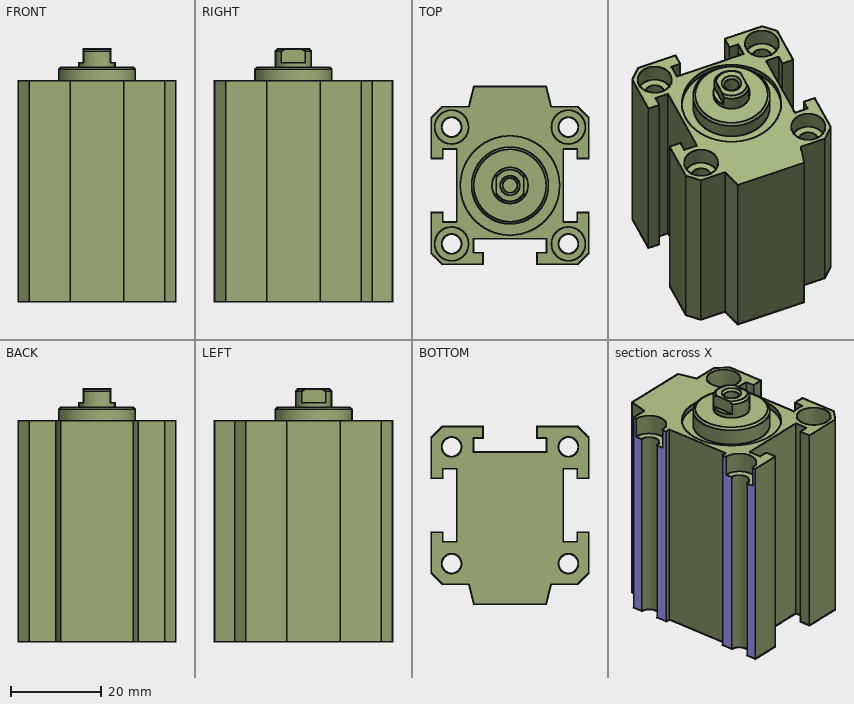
import cadquery as cq

side = 35.0
half = side / 2
corner_chamfer = 2.5
body_height = 49.0
ridge_height = 4.5
ridge_base_width = 18.25
ridge_top_width = 16.0

slot_opening = 11.9
slot_inner_width = 16.1
slot_lip = 2.65
slot_depth = 5.65

hole_spacing = 25.9
hole_diameter = 4.3
counterbore_diameter = 7.5
counterbore_depth = 4.6

recess_diameter = 22.0
recess_depth = 1.2
collar_diameter = 17.0
collar_top = 51.95
edge_chamfer = 0.5

rod_diameter = 8.0
rod_top = 56.0
rod_bottom = body_height / 2
flats_width = 6.0
flats_bottom = 53.0
bore_diameter = 3.25
bore_mouth_diameter = 4.3
bore_depth = 7.85


def cylinder(diameter, bottom, top):
    return cq.Workplane("XY").workplane(offset=bottom).circle(diameter / 2).extrude(top - bottom)


def make_ridge():
    """Trapezoidal ridge along the whole height of the +Y side."""
    return (
        cq.Workplane("XY")
        .moveTo(-ridge_base_width / 2, half)
        .lineTo(-ridge_top_width / 2, half + ridge_height)
        .lineTo(ridge_top_width / 2, half + ridge_height)
        .lineTo(ridge_base_width / 2, half)
        .close()
        .extrude(body_height)
    )


def make_slot(angle):
    """T-slot cutter for the -Y side, turned about Z by the angle."""
    profile = [
        (-slot_opening / 2, -half),
        (-slot_opening / 2, -half + slot_lip),
        (-slot_inner_width / 2, -half + slot_lip),
        (-slot_inner_width / 2, -half + slot_depth),
        (slot_inner_width / 2, -half + slot_depth),
        (slot_inner_width / 2, -half + slot_lip),
        (slot_opening / 2, -half + slot_lip),
        (slot_opening / 2, -half),
    ]
    slot = cq.Workplane("XY").polyline(profile).close().extrude(body_height)
    return slot.rotate((0, 0, 0), (0, 0, 1), angle)


def make_housing():
    """Extruded body with slots, mounting holes, recess and the collar that guides the rod."""
    body = cq.Workplane("XY").rect(side, side).extrude(body_height)
    body = body.edges("|Z").chamfer(corner_chamfer)
    body = body.union(make_ridge())
    for angle in (-90, 0, 90):
        body = body.cut(make_slot(angle))

    body = (
        body.faces(">Z")
        .workplane(origin=(0, 0, body_height))
        .rect(hole_spacing, hole_spacing, forConstruction=True)
        .vertices()
        .cboreHole(hole_diameter, counterbore_diameter, counterbore_depth)
    )

    recess_floor = body_height - recess_depth
    collar = cylinder(collar_diameter, recess_floor, collar_top).faces(">Z").edges().chamfer(edge_chamfer)
    body = body.cut(cylinder(recess_diameter, recess_floor, body_height)).union(collar)
    return body.cut(cylinder(rod_diameter, rod_bottom, collar_top))


def make_rod():
    """Round rod with two wrench flats and a countersunk blind bore in its end."""
    rod = cylinder(rod_diameter, rod_bottom, rod_top).faces(">Z").edges().chamfer(edge_chamfer)

    flats_height = rod_top - flats_bottom
    flat_cut = (rod_diameter - flats_width) / 2
    flat_offset = (flats_width + flat_cut) / 2
    for direction in (-1, 1):
        cutter = cq.Workplane("XY").box(flat_cut, rod_diameter, flats_height)
        rod = rod.cut(cutter.translate((direction * flat_offset, 0, flats_bottom + flats_height / 2)))

    rod = rod.cut(cylinder(bore_diameter, rod_top - bore_depth, rod_top))
    mouth_chamfer = (bore_mouth_diameter - bore_diameter) / 2
    mouth = cq.Workplane(
        cq.Solid.makeCone(
            bore_diameter / 2,
            bore_mouth_diameter / 2,
            mouth_chamfer,
            pnt=cq.Vector(0, 0, rod_top - mouth_chamfer),
        )
    )
    return rod.cut(mouth)


housing = make_housing()
rod = make_rod()

result = cq.Compound.makeCompound([housing.val(), rod.val()])